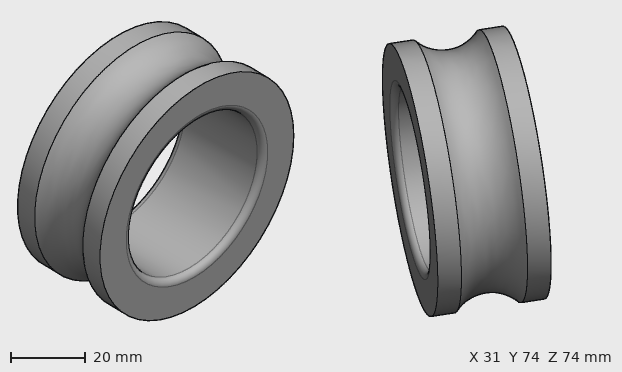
import cadquery as cq

width = 31.0
outer_radius = 37.0
bore_radius = 25.0
bore_edge_radius = 2.0

groove_width = 18.05
groove_depth = 4.0

half_width = width / 2
half_groove = groove_width / 2

section = (
    cq.Workplane("XY")
    .moveTo(-half_width, bore_radius)
    .lineTo(-half_width, outer_radius)
    .lineTo(-half_groove, outer_radius)
    .threePointArc((0, outer_radius - groove_depth), (half_groove, outer_radius))
    .lineTo(half_width, outer_radius)
    .lineTo(half_width, bore_radius)
    .close()
)
ring = section.revolve(360, (0, 0, 0), (1, 0, 0))

bore_edges = ring.faces("<X or >X").edges(cq.selectors.RadiusNthSelector(0))
result = bore_edges.fillet(bore_edge_radius)